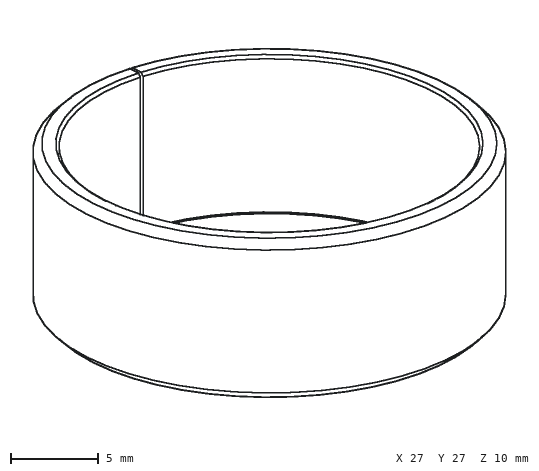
import cadquery as cq

outer_diameter = 27.0
inner_diameter = 24.0
height = 10.0
outer_chamfer = 0.5
inner_chamfer = 0.2
slit_width = 0.2

outer_radius = outer_diameter / 2
inner_radius = inner_diameter / 2
half_height = height / 2


def ring():
    """Revolve the wall section, with chamfers on both rims, about Z, starting on the -X side."""
    section = [
        (-inner_radius, -half_height + inner_chamfer),
        (-inner_radius - inner_chamfer, -half_height),
        (-outer_radius + outer_chamfer, -half_height),
        (-outer_radius, -half_height + outer_chamfer),
        (-outer_radius, half_height - outer_chamfer),
        (-outer_radius + outer_chamfer, half_height),
        (-inner_radius - inner_chamfer, half_height),
        (-inner_radius, half_height - inner_chamfer),
    ]
    return cq.Workplane("XZ").polyline(section).close().revolve(360, (0, 0), (0, 1))


def slit():
    """Full-height cutter that reaches from the axis out past the -X wall, with one face on the XZ plane."""
    blank = cq.Workplane("XY").box(outer_diameter, slit_width, height)
    return blank.translate((-outer_radius, slit_width / 2, 0))


result = ring().cut(slit())